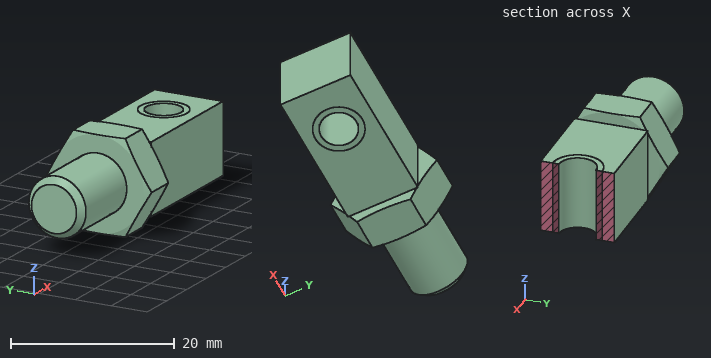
import cadquery as cq
import math

total_length = 34.3
nut_start = 11.2
nut_thickness = 4.75
block_start = nut_start + nut_thickness

stud_diameter = 8.0
stud_chamfer = 0.85
block_side = 9.6

nut_across_flats = 12.7
nut_across_corners = nut_across_flats / math.cos(math.radians(30))
nut_bevel_angle = 15.0

bushing_x = 27.9
bushing_outer_diameter = 6.4
bushing_bore = 4.8


def make_rod_end():
    """Chamfered stud and square block in one piece, cross-drilled for the bushing."""
    stud = (
        cq.Workplane("YZ")
        .circle(stud_diameter / 2)
        .extrude(block_start)
        .faces("<X")
        .chamfer(stud_chamfer)
    )
    block = (
        cq.Workplane("YZ", origin=(block_start, 0, 0))
        .rect(block_side, block_side)
        .extrude(total_length - block_start)
    )
    bushing_hole = (
        cq.Workplane("XY", origin=(bushing_x, 0, -block_side / 2))
        .circle(bushing_outer_diameter / 2)
        .extrude(block_side)
    )
    return stud.union(block).cut(bushing_hole)


def make_nut():
    """Hexagon nut on the stud, seated against the block, with corners along Y."""
    hexagon = (
        cq.Workplane("YZ", origin=(nut_start, 0, 0))
        .polygon(6, nut_across_corners)
        .circle(stud_diameter / 2)
        .extrude(nut_thickness)
    )
    face_radius = nut_across_flats / 2
    corner_radius = nut_across_corners / 2
    bevel_length = (corner_radius - face_radius) * math.tan(math.radians(nut_bevel_angle))
    bevel_envelope = (
        cq.Workplane("XY")
        .moveTo(nut_start, 0)
        .lineTo(nut_start, face_radius)
        .lineTo(nut_start + bevel_length, corner_radius)
        .lineTo(block_start - bevel_length, corner_radius)
        .lineTo(block_start, face_radius)
        .lineTo(block_start, 0)
        .close()
        .revolve(360, (0, 0, 0), (1, 0, 0))
    )
    return hexagon.intersect(bevel_envelope)


def make_bushing():
    """Plain sleeve, flush with the top and bottom of the block."""
    return (
        cq.Workplane("XY", origin=(bushing_x, 0, -block_side / 2))
        .circle(bushing_outer_diameter / 2)
        .circle(bushing_bore / 2)
        .extrude(block_side)
    )


rod_end = make_rod_end()
nut = make_nut()
bushing = make_bushing()

result = cq.Compound.makeCompound([rod_end.solids().val(), nut.solids().val(), bushing.val()])